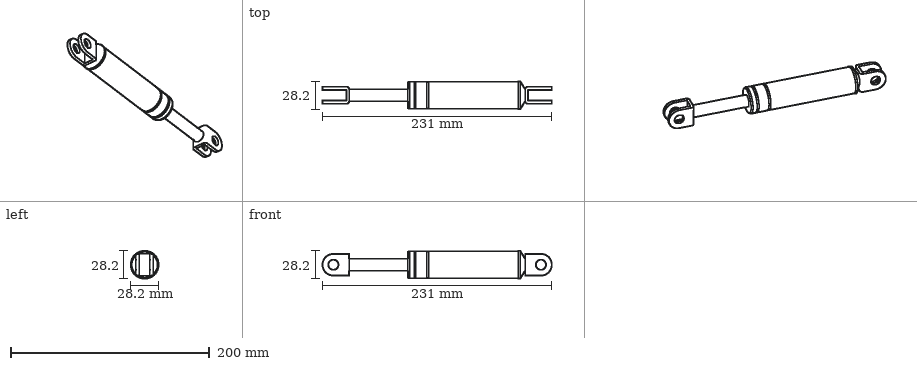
import cadquery as cq

eye_radius = 11.0
pin_hole_diameter = 10.0
overall_length = 231.0
pin_distance = overall_length - 2 * eye_radius

clevis_length = 27.0
clevis_width = 17.5
clevis_gap = 10.5
clevis_web = 3.0
bend_radius = 3.0
web_outer_face = clevis_length - eye_radius

rod_radius = 6.25

tube_radius = 13.75
tube_start = 75.0
front_chamfer_length = 1.8
front_chamfer_depth = 0.8
groove_width = 2.0
groove_depth = 0.6
first_groove_offset = 6.2
groove_spacing = 12.6
groove_starts = [tube_start + first_groove_offset + i * groove_spacing for i in range(2)]
collar_radius = 14.1
collar_width = 2.0
cone_length = 4.8
cone_end_radius = 6.25
tube_end = pin_distance - web_outer_face
collar_end = tube_end - cone_length
collar_start = collar_end - collar_width


def make_clevis():
    """Fork with its pin hole on the origin, open towards -X."""
    profile = (
        cq.Workplane("XZ")
        .moveTo(web_outer_face, eye_radius)
        .lineTo(0, eye_radius)
        .threePointArc((-eye_radius, 0), (0, -eye_radius))
        .lineTo(web_outer_face, -eye_radius)
        .close()
        .extrude(clevis_width / 2, both=True)
    )
    fork = profile.edges("|Z and >X").fillet(bend_radius)
    slot_length = clevis_length - clevis_web
    slot = cq.Workplane("XY").box(slot_length, clevis_gap, 2 * eye_radius)
    slot = slot.translate((slot_length / 2 - eye_radius, 0, 0))
    pin_hole = cq.Workplane("XZ").circle(pin_hole_diameter / 2).extrude(clevis_width / 2, both=True)
    return fork.cut(slot).cut(pin_hole)


def make_rod():
    """Piston rod butting against the front face of the cylinder, with its clevis."""
    rod_length = tube_start - web_outer_face
    rod = cq.Workplane("YZ").workplane(offset=web_outer_face).circle(rod_radius).extrude(rod_length)
    return make_clevis().union(rod)


def make_cylinder():
    """Tube with rounded grooves, rear collar and cone, with its clevis."""
    outline = (
        cq.Workplane("XY")
        .moveTo(tube_start, 0)
        .lineTo(tube_start, tube_radius - front_chamfer_depth)
        .lineTo(tube_start + front_chamfer_length, tube_radius)
    )
    for start in groove_starts:
        outline = outline.lineTo(start, tube_radius).threePointArc(
            (start + groove_width / 2, tube_radius - groove_depth),
            (start + groove_width, tube_radius),
        )
    tube = (
        outline.lineTo(collar_start, tube_radius)
        .lineTo(collar_start, collar_radius)
        .lineTo(collar_end, collar_radius)
        .lineTo(tube_end, cone_end_radius)
        .lineTo(tube_end, 0)
        .close()
        .revolve(360, (0, 0, 0), (1, 0, 0))
    )
    rear_clevis = make_clevis().rotate((0, 0, 0), (0, 0, 1), 180).translate((pin_distance, 0, 0))
    return tube.union(rear_clevis)


piston_rod = make_rod()
cylinder = make_cylinder()
result = cq.Compound.makeCompound([piston_rod.val(), cylinder.val()])